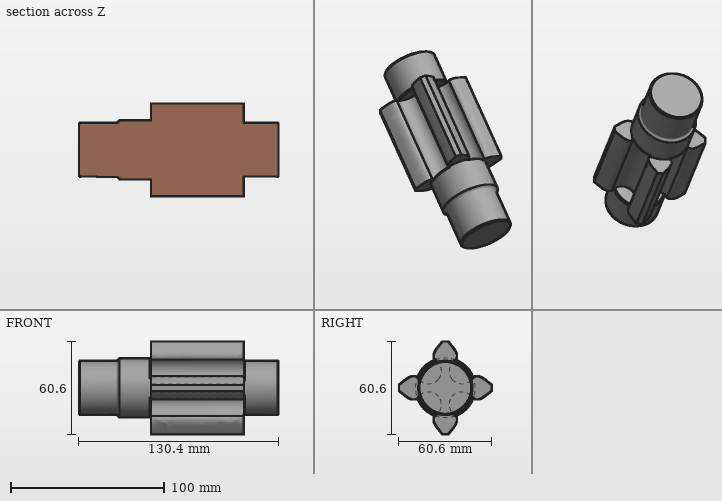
import cadquery as cq

length = 130.4
journal_radius = 17.7
collar_radius = 19.4
tip_radius = 30.31
tooth_count = 4

shoulder_start = 25.0
shoulder_end = 26.6
teeth_start = 46.9
teeth_end = 107.5

end_chamfer = 0.8
shoulder_fillet = 0.9

tip_half_width = 2.0
flank_middle = (5.7, 25.5)
flank_widest = (7.7, 20.0)
lip_end = (7.0, 18.4)
valley_middle = (2.6, 11.3)
root_land_half_width = 0.3
root_land_distance = 7.0


def place(point, quarter, side=1):
    """Turn a half-section point to the given tooth, on either side of it."""
    turned = cq.Vector(side * point[0], point[1], 0)
    for _ in range(quarter):
        turned = cq.Vector(turned.y, -turned.x, 0)
    return turned.toTuple()[:2]


def root_point():
    """End of the valley arc beside the root land, which faces the 45 degree line."""
    diagonal = 0.5 ** 0.5
    across = (root_land_distance - root_land_half_width) * diagonal
    outward = (root_land_distance + root_land_half_width) * diagonal
    return across, outward


def make_teeth():
    flank = [(tip_half_width, tip_radius), flank_middle, flank_widest]
    root = root_point()
    section = cq.Workplane("YZ", origin=(teeth_start, 0, 0)).moveTo(*place(root, 0, -1))
    for tooth in range(tooth_count):
        if tooth > 0:
            section = section.lineTo(*place(root, tooth, -1))
        section = (
            section
            .threePointArc(place(valley_middle, tooth, -1), place(lip_end, tooth, -1))
            .spline([place(point, tooth, -1) for point in reversed(flank)], includeCurrent=True)
            .lineTo(*place(flank[0], tooth))
            .spline([place(point, tooth) for point in flank[1:] + [lip_end]], includeCurrent=True)
            .threePointArc(place(valley_middle, tooth), place(root, tooth))
        )
    return section.close().extrude(teeth_end - teeth_start)


def make_front_shaft():
    """Journal, blended shoulder and collar, chamfered where they meet the valleys."""
    return (
        cq.Workplane("XY")
        .lineTo(0, journal_radius - end_chamfer)
        .lineTo(end_chamfer, journal_radius)
        .lineTo(shoulder_start, journal_radius)
        .lineTo(shoulder_end, collar_radius)
        .lineTo(teeth_start - end_chamfer, collar_radius)
        .lineTo(teeth_start, collar_radius - end_chamfer)
        .lineTo(teeth_start, 0)
        .close()
        .revolve(360, (0, 0, 0), (1, 0, 0))
        .edges(cq.selectors.BoxSelector(
            (shoulder_start - end_chamfer, -length, -length),
            (shoulder_start + end_chamfer, length, length),
        ))
        .edges("%CIRCLE")
        .fillet(shoulder_fillet)
    )


def make_rear_shaft():
    return (
        cq.Workplane("YZ", origin=(teeth_end, 0, 0))
        .circle(journal_radius)
        .extrude(length - teeth_end)
        .faces("<X or >X")
        .chamfer(end_chamfer)
    )


def make_chamfer_fill(teeth, start, radius):
    """Keep the shaft at full radius behind each tooth, so only the valleys are chamfered."""
    ring = cq.Workplane("YZ", origin=(start, 0, 0)).circle(radius).extrude(end_chamfer)
    return ring.intersect(teeth.translate((start - teeth_start, 0, 0)))


teeth = make_teeth()
result = (
    make_front_shaft()
    .union(make_chamfer_fill(teeth, teeth_start - end_chamfer, collar_radius))
    .union(teeth)
    .union(make_chamfer_fill(teeth, teeth_end, journal_radius))
    .union(make_rear_shaft())
)